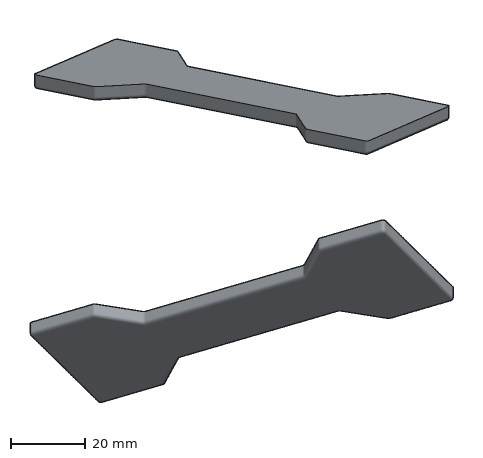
import cadquery as cq

length = 108.9
width = 39.6
thickness = 4.0

waist_width = 19.8
end_length = 20.0
taper_run = 9.9

vertical_radius = 1.0
bottom_radius = 1.0

half_length = length / 2
half_width = width / 2
half_waist = waist_width / 2
shoulder_x = half_length - end_length
waist_x = shoulder_x - taper_run

upper_edge = [
    (half_length, half_width),
    (shoulder_x, half_width),
    (waist_x, half_waist),
    (-waist_x, half_waist),
    (-shoulder_x, half_width),
    (-half_length, half_width),
]
lower_edge = [(x, -y) for x, y in reversed(upper_edge)]

plate = cq.Workplane("XY").polyline(upper_edge + lower_edge).close().extrude(thickness)

plate = plate.edges("|Z").fillet(vertical_radius)
result = plate.faces("<Z").edges().fillet(bottom_radius)